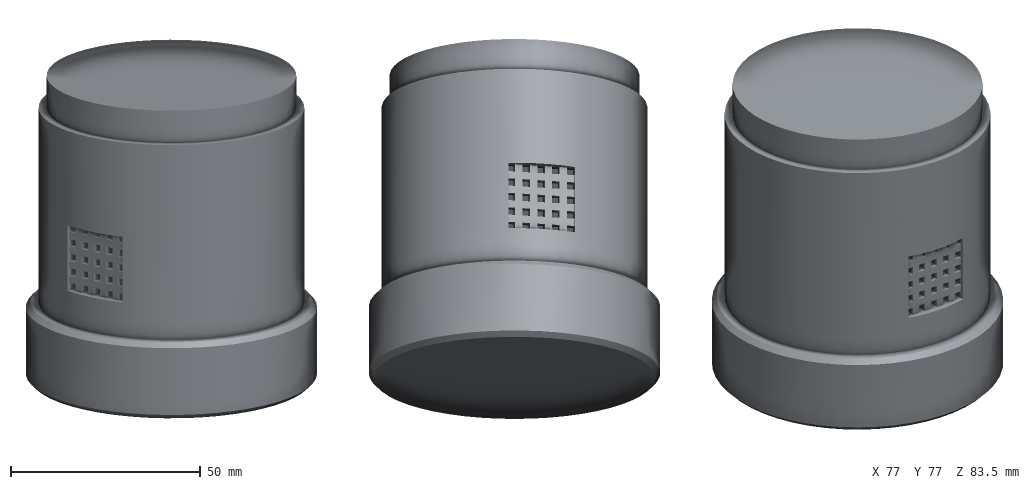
import cadquery as cq

total_height = 83.5
base_diameter = 77.0
base_height = 21.05
base_chamfer = 1.3
body_diameter = 70.2
cap_diameter = 66.0
cap_height = 8.85

hole_size = 2.0
hole_pitch = 2 * hole_size
holes_per_side = 5
hole_depth = 2.0
grille_size = (holes_per_side - 1) * hole_pitch + hole_size
grille_centre_z = 39.7
recess_depth = 2.0

body_radius = body_diameter / 2
body_top = total_height - cap_height
grille_face_y = -(body_radius - recess_depth)


def cylinder(diameter, bottom, top):
    """Upright cylinder on the Z axis."""
    return cq.Workplane("XY").workplane(offset=bottom).circle(diameter / 2).extrude(top - bottom)


def front_bars(size, centres, floor_y):
    """Square bars running from a flat floor out through the -Y side of the body."""
    return (
        cq.Workplane("XZ", origin=(0, floor_y, grille_centre_z))
        .pushPoints(centres)
        .rect(size, size)
        .extrude(body_radius)
    )


def make_body():
    base = cylinder(base_diameter, 0, base_height).faces("<Z or >Z").edges().chamfer(base_chamfer)
    body = cylinder(body_diameter, base_height, body_top)
    cap = cylinder(cap_diameter, body_top, total_height)
    return base.union(body).union(cap)


def make_recess():
    """Square window cut down to a flat grille face."""
    return front_bars(grille_size, [(0, 0)], grille_face_y)


def make_grille_holes():
    """Grid of square blind holes sunk from the flat grille face."""
    middle = (holes_per_side - 1) / 2
    offsets = [(i - middle) * hole_pitch for i in range(holes_per_side)]
    centres = [(x, z) for x in offsets for z in offsets]
    return front_bars(hole_size, centres, grille_face_y + hole_depth)


result = make_body().cut(make_recess()).cut(make_grille_holes())